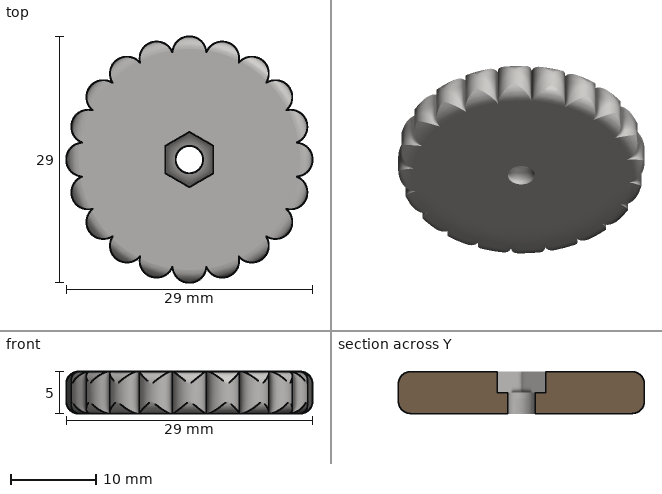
import cadquery as cq
import math

outer_diameter = 29.0
thickness = 5.0
lobe_count = 20
lobe_radius = 2.0
rim_round = 1.5
bore_diameter = 3.2
hex_across_corners = 6.5
hex_depth = 2.5

outer_radius = outer_diameter / 2
lobe_center_radius = outer_radius - lobe_radius
half_pitch = math.pi / lobe_count
valley_radius = (
    lobe_center_radius * math.cos(half_pitch)
    + math.sqrt(lobe_radius**2 - (lobe_center_radius * math.sin(half_pitch)) ** 2)
)


def polar_point(radius, angle):
    return (radius * math.cos(angle), radius * math.sin(angle))


def make_lobed_disc():
    """Disc whose rim is a ring of touching round lobes."""
    outline = cq.Workplane("XY").moveTo(*polar_point(valley_radius, -half_pitch))
    for index in range(lobe_count):
        lobe_angle = 2 * half_pitch * index
        tip = polar_point(outer_radius, lobe_angle)
        next_valley = polar_point(valley_radius, lobe_angle + half_pitch)
        outline = outline.threePointArc(tip, next_valley)
    return outline.close().extrude(thickness)


def make_rounded_envelope():
    """Plain disc with rounded top and bottom edges that trims the lobes."""
    disc = cq.Workplane("XY").circle(outer_radius).extrude(thickness)
    return disc.edges("%CIRCLE").fillet(rim_round)


def make_bore():
    return cq.Workplane("XY").circle(bore_diameter / 2).extrude(thickness)


def make_hex_pocket():
    """Nut pocket in the top face, with two corners on the Y axis."""
    pocket = cq.Workplane("XY").polygon(6, hex_across_corners).extrude(hex_depth)
    pocket = pocket.rotate((0, 0, 0), (0, 0, 1), 90)
    return pocket.translate((0, 0, thickness - hex_depth))


knob = make_lobed_disc().intersect(make_rounded_envelope())
result = knob.cut(make_bore()).cut(make_hex_pocket())